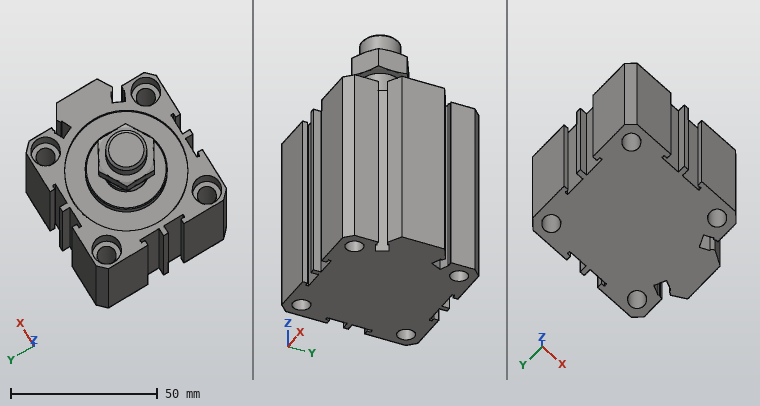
import cadquery as cq
import math

BODY_WIDTH = 52.0
BODY_HEIGHT = 66.1
CORNER_CHAMFER = 3.0
BODY_LENGTH = 58.5
TOTAL_HEIGHT = 101.0

SLOT_OPENING = 14.3
SLOT_UNDERCUT = 17.2
SLOT_LIP = 1.9
SLOT_DEPTH = 2.9
SLOT_RIB = 1.9

RAIL_FACE_WIDTH = 16.3
RAIL_PEAK_X = 27.3
RAIL_SLOPE = 30.0
GROOVE_FLOOR = (21.7, 10.3)
GROOVE_TILT = 25.0
GROOVE_WIDTH = 4.6
GROOVE_NECK = 3.6
GROOVE_UNDERCUT = 3.7
GROOVE_MOUTH = 4.6

HOLE_PITCH = 40.0
HOLE_DIAMETER = 6.5
COUNTERBORE_DIAMETER = 10.0
COUNTERBORE_DEPTH = 10.1

RECESS_DIAMETER = 42.0
RECESS_DEPTH = 2.0
BOSS_DIAMETER = 28.0
BOSS_HEIGHT = 2.9
BOSS_CHAMFER = 0.4

ROD_DIAMETER = 14.0
ROD_TIP_CHAMFER = 1.0
SHOULDER_DIAMETER = 16.0
SHOULDER_TOP = 73.1
FLAT_DISTANCE = 13.8
FLAT_BOTTOM = 70.0

NUT_ACROSS_FLATS = 19.0
NUT_BOTTOM = 84.5
NUT_HEIGHT = 8.0
NUT_CHAMFER_ANGLE = 18.0

HALF_WIDTH = BODY_WIDTH / 2
RAIL_FACE_X = BODY_LENGTH - HALF_WIDTH
BOSS_TOP = BODY_HEIGHT + BOSS_HEIGHT


def groove_point(along, across):
    """Point of the upper tilted groove, measured from the middle of its floor."""
    tilt = math.radians(GROOVE_TILT)
    x = GROOVE_FLOOR[0] + along * math.cos(tilt) - across * math.sin(tilt)
    y = GROOVE_FLOOR[1] + along * math.sin(tilt) + across * math.cos(tilt)
    return (x, y)


def body_outline():
    """Housing section: chamfered square with the rail and its two grooves on +X."""
    rail_half = RAIL_FACE_WIDTH / 2
    rail_peak_y = rail_half + (RAIL_FACE_X - RAIL_PEAK_X) * math.tan(math.radians(RAIL_SLOPE))
    groove_half = GROOVE_WIDTH / 2
    neck_half = GROOVE_NECK / 2
    mouth = groove_point(GROOVE_MOUTH, neck_half)
    inset = HALF_WIDTH - CORNER_CHAMFER
    upper_half = [
        (RAIL_FACE_X, rail_half),
        (RAIL_PEAK_X, rail_peak_y),
        groove_point(GROOVE_UNDERCUT, -neck_half),
        groove_point(GROOVE_UNDERCUT, -groove_half),
        groove_point(0, -groove_half),
        groove_point(0, groove_half),
        groove_point(GROOVE_UNDERCUT, groove_half),
        groove_point(GROOVE_UNDERCUT, neck_half),
        mouth,
        (HALF_WIDTH, mouth[1]),
        (HALF_WIDTH, inset),
        (inset, HALF_WIDTH),
        (-inset, HALF_WIDTH),
        (-HALF_WIDTH, inset),
    ]
    lower_half = [(x, -y) for x, y in reversed(upper_half)]
    return upper_half + lower_half


def sensor_slot():
    """Cutter for the T-slot on the -X side, leaving the middle rib standing."""
    opening = cq.Workplane("XY").box(SLOT_DEPTH, SLOT_OPENING, BODY_HEIGHT, centered=(False, True, False))
    undercut = (
        cq.Workplane("XY")
        .box(SLOT_DEPTH - SLOT_LIP, SLOT_UNDERCUT, BODY_HEIGHT, centered=(False, True, False))
        .translate((SLOT_LIP, 0, 0))
    )
    rib = cq.Workplane("XY").box(SLOT_DEPTH, SLOT_RIB, BODY_HEIGHT, centered=(False, True, False))
    return opening.union(undercut).cut(rib).translate((-HALF_WIDTH, 0, 0))


def make_housing():
    """Extruded housing with slots, mounting holes, recess and guide boss."""
    body = cq.Workplane("XY").polyline(body_outline()).close().extrude(BODY_HEIGHT)
    for angle in (-90, 0, 90):
        body = body.cut(sensor_slot().rotate((0, 0, 0), (0, 0, 1), angle))
    body = (
        body.faces(">Z").workplane(origin=(0, 0, BODY_HEIGHT))
        .rect(HOLE_PITCH, HOLE_PITCH, forConstruction=True)
        .vertices()
        .cboreHole(HOLE_DIAMETER, COUNTERBORE_DIAMETER, COUNTERBORE_DEPTH)
    )
    recess_floor = BODY_HEIGHT - RECESS_DEPTH
    recess = (
        cq.Workplane("XY").workplane(offset=recess_floor)
        .circle(RECESS_DIAMETER / 2).extrude(RECESS_DEPTH)
    )
    boss = (
        cq.Workplane("XY").workplane(offset=recess_floor)
        .circle(BOSS_DIAMETER / 2).extrude(BOSS_TOP - recess_floor)
        .faces(">Z").chamfer(BOSS_CHAMFER)
    )
    return body.cut(recess).union(boss)


def wrench_flat():
    """Cutter for the flat on the +X side of the shoulder, with a 45 degree run-out below."""
    flat = FLAT_DISTANCE / 2
    edge = SHOULDER_DIAMETER / 2
    return (
        cq.Workplane("XZ")
        .polyline([
            (flat, SHOULDER_TOP),
            (flat, FLAT_BOTTOM),
            (edge, FLAT_BOTTOM - (edge - flat)),
            (edge, SHOULDER_TOP),
        ])
        .close().extrude(SHOULDER_DIAMETER / 2, both=True)
    )


def nut_shape():
    """Hexagon with corners along Y, both ends chamfered by a shallow cone."""
    corner_diameter = NUT_ACROSS_FLATS / math.cos(math.radians(30))
    flat_radius = NUT_ACROSS_FLATS / 2
    corner_radius = corner_diameter / 2
    drop = (corner_radius - flat_radius) * math.tan(math.radians(NUT_CHAMFER_ANGLE))
    hexagon = (
        cq.Workplane("XY").polygon(6, corner_diameter).extrude(NUT_HEIGHT)
        .rotate((0, 0, 0), (0, 0, 1), 90)
    )
    chamfer_envelope = (
        cq.Workplane("XZ")
        .polyline([
            (0, 0),
            (flat_radius, 0),
            (corner_radius, drop),
            (corner_radius, NUT_HEIGHT - drop),
            (flat_radius, NUT_HEIGHT),
            (0, NUT_HEIGHT),
        ])
        .close().revolve(360, (0, 0, 0), (0, 1, 0))
    )
    return hexagon.intersect(chamfer_envelope).translate((0, 0, NUT_BOTTOM))


def make_piston_rod():
    """Rod standing on the boss: flatted shoulder, shank and nut in one solid."""
    shoulder_chamfer = (SHOULDER_DIAMETER - ROD_DIAMETER) / 2
    shoulder = (
        cq.Workplane("XY").workplane(offset=BOSS_TOP)
        .circle(SHOULDER_DIAMETER / 2).extrude(SHOULDER_TOP - BOSS_TOP)
        .faces(">Z").chamfer(shoulder_chamfer)
    )
    for angle in (0, 180):
        shoulder = shoulder.cut(wrench_flat().rotate((0, 0, 0), (0, 0, 1), angle))
    shank = (
        cq.Workplane("XY").workplane(offset=SHOULDER_TOP)
        .circle(ROD_DIAMETER / 2).extrude(TOTAL_HEIGHT - SHOULDER_TOP)
        .faces(">Z").chamfer(ROD_TIP_CHAMFER)
    )
    return shoulder.union(shank).union(nut_shape())


housing = make_housing()
piston_rod = make_piston_rod()

result = cq.Compound.makeCompound([housing.val(), piston_rod.val()])